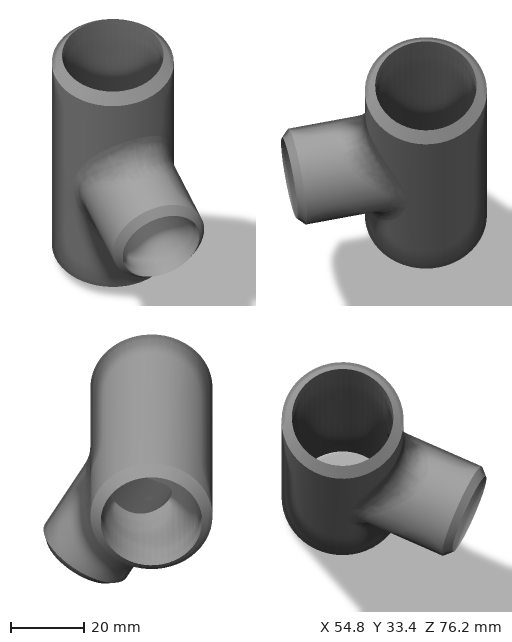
import cadquery as cq

run_length = 76.2
run_diameter = 33.4
run_wall = 2.8
branch_diameter = 26.7
branch_wall = 2.1
branch_reach = 38.1
blend_radius = 8.0

run_bore = run_diameter - 2 * run_wall
branch_bore = branch_diameter - 2 * branch_wall


def run_cylinder(diameter):
    return cq.Workplane("XY").circle(diameter / 2).extrude(run_length / 2, both=True)


def branch_cylinder(diameter):
    return cq.Workplane("YZ").circle(diameter / 2).extrude(branch_reach)


body = run_cylinder(run_diameter).union(branch_cylinder(branch_diameter))
junction_box = cq.selectors.BoxSelector(
    (0, -run_diameter, -run_length / 4),
    (branch_reach - branch_wall, run_diameter, run_length / 4),
)
junction = cq.selectors.SubtractSelector(junction_box, cq.selectors.TypeSelector("LINE"))
body = body.edges(junction).fillet(blend_radius)

body = body.faces("|Z").edges().chamfer(run_wall)
body = body.faces(">X").edges().chamfer(branch_wall)

result = body.cut(run_cylinder(run_bore)).cut(branch_cylinder(branch_bore))